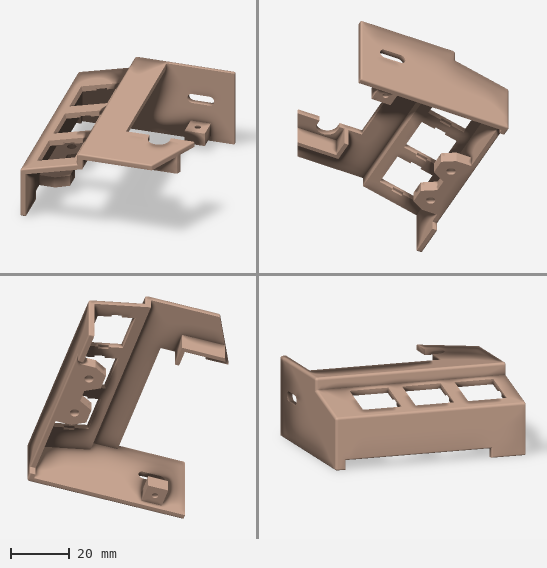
import cadquery as cq
import math

length = 69.05
height = 28.0
wall = 2.0
ridge_radius = 1.0
rim_radius = 0.55

front_height = 18.4
step_x = 20.2
slope_angle = 15.0
slope = math.radians(slope_angle)
slope_top = front_height + step_x * math.tan(slope)

corner_x = 47.0
tip_x = 56.35
arm_width = 19.4
back_wall_length = 56.15
deck_edge_x = 32.0
back_wall_inner_y = length - wall

foot_height = 3.4
foot_start_y = 12.5
foot_end_y = 65.3

window_size = 14.0
window_x = 11.2
first_window_y = 12.4
window_pitch = 19.05
window_count = 3
clip_width = 4.0
clip_reach = 1.0
clip_depth = 1.0

fixing_x = 44.2
notch_width = 7.6
notch_bottom_y = 13.9
slot_length = 9.5
slot_width = 3.5
slot_z = 15.7
tab_size = 7.2
tab_bottom = 2.0
tab_top = 6.9
tab_hole_diameter = 2.2
tab_hole_y = 63.45

rib_x = 37.1
rib_y = 11.45
rib_bottom = 19.2
rib_thickness = 1.5

bracket_center_y = 29.7
bracket_half_length = 13.45
bracket_edge_x = 12.15
bracket_bottom = 3.4
bracket_top = 7.4
bracket_corner_x = 7.65
bracket_corner_half_length = 10.9
bracket_throat_x = 7.2
bracket_throat_half_width = 2.35
bracket_mouth_half_width = 5.2
bracket_hole_x = 7.05
bracket_hole_offset = 8.0
bracket_hole_diameter = 3.2


def box(x_range, y_range, z_range):
    """Axis-aligned box from its limits along each axis."""
    sizes = [high - low for low, high in (x_range, y_range, z_range)]
    corner = (x_range[0], y_range[0], z_range[0])
    return cq.Workplane("XY").box(*sizes, centered=False).translate(corner)


def plan_prism(bottom, top):
    """Upright prism over the outer plan outline."""
    outline = [
        (0, 0),
        (corner_x, 0),
        (tip_x, arm_width),
        (back_wall_length, arm_width),
        (back_wall_length, length),
        (0, length),
    ]
    return cq.Workplane("XY").workplane(offset=bottom).polyline(outline).close().extrude(top - bottom)


def profile_prism(points, end_y):
    """XZ profile extruded from Y = 0 to end_y."""
    return cq.Workplane("XZ").polyline(points).close().extrude(-end_y)


def outer_body():
    """Solid outer form with rounded rims, before hollowing."""
    above_slope = [
        (0, front_height),
        (step_x, slope_top),
        (step_x, height),
        (0, height),
    ]
    body = plan_prism(0, height).cut(profile_prism(above_slope, length))
    body = body.cut(box((deck_edge_x, tip_x), (arm_width, back_wall_inner_y), (0, height)))
    body = body.cut(box((0, wall), (foot_start_y, foot_end_y), (0, foot_height)))
    return round_rims(body)


def edge_near(x, y, z):
    return cq.selectors.NearestToPointSelector((x, y, z))


def round_edges(body, midpoints, radius):
    """Fillet the edges whose midpoints are given."""
    edges = []
    for point in midpoints:
        edges += body.edges(edge_near(*point)).vals()
    return body.newObject(edges).fillet(radius)


def round_rims(body):
    middle = length / 2
    slope_mid = (step_x / 2, (front_height + slope_top) / 2)
    step_mid_z = (slope_top + height) / 2
    ridges = [
        (0, middle, front_height),
        (step_x, middle, height),
        (0, length, front_height / 2),
        (slope_mid[0], length, slope_mid[1]),
        (step_x, length, step_mid_z),
        ((step_x + back_wall_length) / 2, length, height),
    ]
    body = round_edges(body, ridges, ridge_radius)
    foot_mid_z = foot_height / 2
    rims = [
        (0, 0, front_height / 2),
        (slope_mid[0], 0, slope_mid[1]),
        (step_x, 0, step_mid_z),
        ((step_x + corner_x) / 2, 0, height),
        (corner_x, 0, height / 2),
        ((corner_x + tip_x) / 2, arm_width / 2, height),
        (corner_x / 2, 0, 0),
        (0, foot_start_y / 2, 0),
        (0, foot_start_y, foot_mid_z),
        (0, (foot_start_y + foot_end_y) / 2, foot_height),
        (0, foot_end_y, foot_mid_z),
        (0, (foot_end_y + length) / 2, 0),
        (back_wall_length / 2, length, 0),
        (back_wall_length, length, height / 2),
        (back_wall_length, length - wall / 2, height),
    ]
    return round_edges(body, rims, rim_radius)


def cavity():
    """Inner space, one wall thickness inside the outer profile and open at Y = 0."""
    slope_drop = wall / math.cos(slope)
    inner_step_x = step_x + wall

    def inner_slope_z(x):
        return front_height + x * math.tan(slope) - slope_drop

    profile = [
        (wall, 0),
        (wall, inner_slope_z(wall)),
        (inner_step_x, inner_slope_z(inner_step_x)),
        (inner_step_x, height - wall),
        (tip_x, height - wall),
        (tip_x, 0),
    ]
    return profile_prism(profile, back_wall_inner_y)


def window_cutter(center_y):
    """Square window through the slope with a clip recess on both sides underneath."""
    plane = cq.Plane(
        origin=(window_x, center_y, front_height + window_x * math.tan(slope)),
        xDir=(math.cos(slope), 0, math.sin(slope)),
        normal=(-math.sin(slope), 0, math.cos(slope)),
    )
    opening = cq.Workplane(plane).rect(window_size, window_size).extrude(wall, both=True)
    recess_start = cq.Workplane(plane).workplane(offset=-wall)
    recess = recess_start.rect(clip_width, window_size + 2 * clip_reach).extrude(clip_depth)
    return opening.union(recess)


def arm_notch():
    """Round-bottomed notch in the inner edge of the arm."""
    radius = notch_width / 2
    center_y = notch_bottom_y + radius
    notch = (
        cq.Workplane("XY")
        .workplane(offset=height - wall)
        .moveTo(fixing_x - radius, arm_width)
        .lineTo(fixing_x - radius, center_y)
        .threePointArc((fixing_x, notch_bottom_y), (fixing_x + radius, center_y))
        .lineTo(fixing_x + radius, arm_width)
        .close()
    )
    return notch.extrude(wall)


def back_wall_slot():
    slot = cq.Workplane("XZ", origin=(fixing_x, back_wall_inner_y, slot_z))
    return slot.slot2D(slot_length, slot_width).extrude(-wall)


def back_wall_tab():
    tab = box(
        (fixing_x - tab_size / 2, fixing_x + tab_size / 2),
        (back_wall_inner_y - tab_size, back_wall_inner_y),
        (tab_bottom, tab_top),
    )
    hole = cq.Workplane("XY", origin=(fixing_x, tab_hole_y, tab_bottom))
    return tab.cut(hole.circle(tab_hole_diameter / 2).extrude(tab_top - tab_bottom))


def arm_rib():
    """Two rib legs under the arm, trimmed flush with its slanted side."""
    rib_z = (rib_bottom, height - wall)
    cross_leg = box((rib_x, tip_x), (rib_y, rib_y + rib_thickness), rib_z)
    side_leg = box((rib_x, rib_x + rib_thickness), (rib_y, arm_width), rib_z)
    return cross_leg.union(side_leg).intersect(plan_prism(*rib_z))


def front_bracket():
    """Flat bracket with a tapered throat between two screw holes."""
    half_outline = [
        (bracket_throat_x, bracket_throat_half_width),
        (bracket_edge_x, bracket_mouth_half_width),
        (bracket_edge_x, bracket_corner_half_length),
        (bracket_corner_x, bracket_half_length),
        (wall, bracket_half_length),
    ]
    mirrored = [(x, -y) for x, y in reversed(half_outline)]
    hole_centers = [(bracket_hole_x, side * bracket_hole_offset) for side in (-1, 1)]
    thickness = bracket_top - bracket_bottom
    base = cq.Workplane("XY", origin=(0, bracket_center_y, bracket_bottom))
    plate = base.polyline(half_outline + mirrored).close().extrude(thickness)
    holes = base.pushPoints(hole_centers).circle(bracket_hole_diameter / 2).extrude(thickness)
    return plate.cut(holes)


result = outer_body().cut(cavity())
for index in range(window_count):
    result = result.cut(window_cutter(first_window_y + index * window_pitch))
result = result.cut(arm_notch()).cut(back_wall_slot())
result = result.union(back_wall_tab()).union(arm_rib()).union(front_bracket())